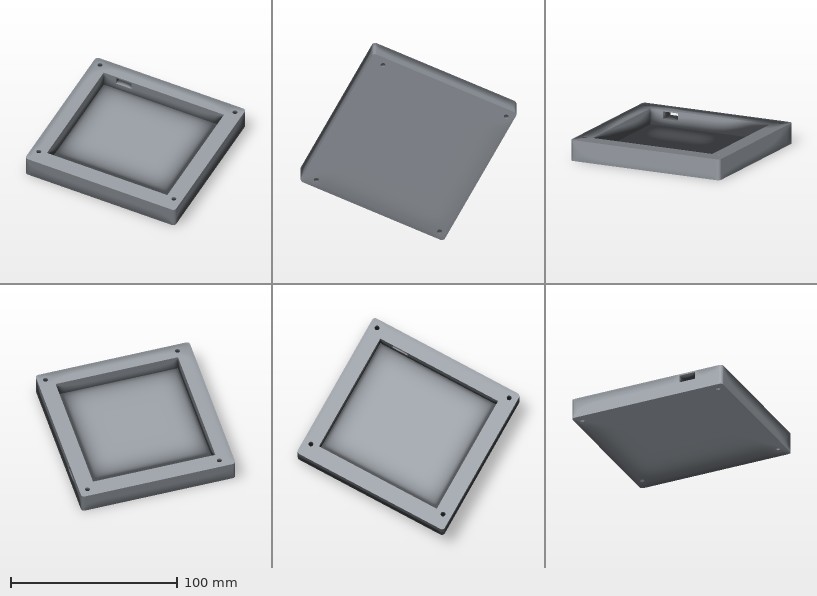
import cadquery as cq

length = 100.7
width = 96.5
height = 13.0
corner_radius = 2.0

rim = 10.0
pocket_depth = 10.0
pocket_length = length - 2 * rim
pocket_width = width - 2 * rim

hole_diameter = 2.9
hole_inset = 5.0
front_hole_inset = 8.9

opening_offset = 8.3
opening_length = 10.3
opening_height = 4.5
opening_cover = 1.0


def make_block():
    block = cq.Workplane("XY").box(length, width, height, centered=(True, True, False))
    return block.edges("|Z").fillet(corner_radius)


def cut_pocket(body):
    return body.faces(">Z").workplane().rect(pocket_length, pocket_width).cutBlind(-pocket_depth)


def cut_mounting_holes(body):
    hole_x = length / 2 - hole_inset
    front_y = -width / 2 + front_hole_inset
    back_y = width / 2 - hole_inset
    centers = [(x, y) for x in (-hole_x, hole_x) for y in (front_y, back_y)]
    holes = cq.Workplane("XY").pushPoints(centers).circle(hole_diameter / 2).extrude(height)
    return body.cut(holes)


def cut_cable_opening(body):
    opening_start = (
        -pocket_length / 2 + opening_offset,
        pocket_width / 2,
        height - opening_cover - opening_height,
    )
    opening = cq.Workplane("XY").box(opening_length, rim, opening_height, centered=False)
    return body.cut(opening.translate(opening_start))


result = cut_cable_opening(cut_mounting_holes(cut_pocket(make_block())))